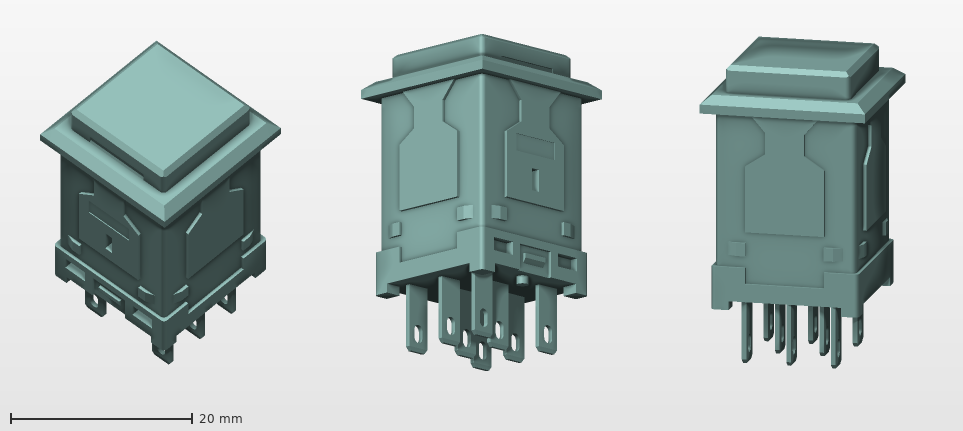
import cadquery as cq


total_height = 34.0
foot_bottom_z = 6.5
base_bottom_z = 7.5
base_top_z = 11.4
bezel_bottom_z = 28.97
bezel_top_z = 30.9

bezel_width = 18.8
bezel_bevel_height = 0.92
bezel_bevel_inset = 1.12
cap_width = 14.2
cap_bevel = 0.55
cap_corner_radius = 0.55
body_width = 15.98
body_corner_radius = 0.55
base_width = 16.75
base_corner_radius = 0.48
body_half = body_width / 2
base_half = base_width / 2
relief = base_half - body_half

groove_width = 8.15
groove_top_z = 31.85
groove_floor_z = 31.1
groove_depth = groove_floor_z - bezel_top_z

panel_bottom_z = 15.47
panel_shoulder_z = 23.0
panel_neck_bottom_z = 24.48
panel_neck_top_z = 26.93
panel_half_width = 4.5
panel_neck_half_width = 2.2
panel_top_half_width = 3.98

label_width = 6.05
label_bottom_z = 21.0
label_top_z = 23.0
label_depth = 0.1
window_width = 1.05
window_bottom_z = 16.93
window_top_z = 19.45
window_depth = 1.2

clip_inner_x = 4.45
clip_ridge_x = 5.5
clip_outer_x = 6.55
clip_bottom_z = 12.7
clip_height = 1.5

foot_inner = 6.4
notch_bottom_z = 9.55
notch_width = 2 * panel_half_width
pocket_inner_x = 3.57
pocket_width = 3.0
pocket_bottom_z = 8.98
pocket_top_z = 10.47
pocket_depth = 1.0
recess_width = 4.9
catch_width = 3.13
catch_bottom_z = 8.5
catch_edge_z = 9.05
catch_top_z = 9.6
peg_radius = 0.68
peg_y = -6.35
peg_bottom_z = 6.6

terminal_width = 2.8
terminal_thickness = 0.55
terminal_pitch = 5.05
tip_height = 0.48
tip_side_inset = 0.35
tip_face_inset = 0.07
eye_width = 1.22
eye_length = 2.07
eye_centre_z = 2.07


def block(width, bottom_z, top_z):
    """Square block centred on the Z axis."""
    return cq.Workplane("XY").workplane(offset=bottom_z).rect(width, width).extrude(top_z - bottom_z)


def front_box(width, bottom_z, top_z, outer, depth, centre_x=0.0):
    """Box whose front face lies at Y = -outer and which runs `depth` back from there."""
    return (
        cq.Workplane("XY")
        .box(width, depth, top_z - bottom_z, centered=(True, False, False))
        .translate((centre_x, -outer, bottom_z))
    )


def side_prism(profile, width):
    """(Y, Z) profile extruded along X, centred on X = 0."""
    return cq.Workplane("YZ").polyline(profile).close().extrude(width / 2, both=True)


def around(shape, angle):
    """Shape turned about the Z axis."""
    return shape.rotate((0, 0, 0), (0, 0, 1), angle)


def make_cap():
    """Button cap with mitred bevels over rounded corners."""
    bevelled = block(cap_width, bezel_top_z, total_height).faces(">Z").chamfer(cap_bevel)
    rounded = block(cap_width, bezel_top_z, total_height).edges("|Z").fillet(cap_corner_radius)
    cap = bevelled.intersect(rounded)
    front = -cap_width / 2
    groove = side_prism(
        [
            (front, bezel_top_z),
            (front + groove_depth, groove_floor_z),
            (front + groove_depth, groove_top_z),
            (front, groove_top_z),
        ],
        groove_width,
    )
    return cap.cut(groove)


def make_bezel():
    bezel = block(bezel_width, bezel_bottom_z, bezel_top_z)
    return bezel.faces(">Z").chamfer(bezel_bevel_height, bezel_bevel_inset)


def make_panel():
    """Raised latch panel on the front side, waisted below the bezel."""
    right_edge = [
        (panel_half_width, panel_bottom_z),
        (panel_half_width, panel_shoulder_z),
        (panel_neck_half_width, panel_neck_bottom_z),
        (panel_neck_half_width, panel_neck_top_z),
        (panel_top_half_width, bezel_bottom_z),
    ]
    left_edge = [(-x, z) for x, z in reversed(right_edge)]
    return (
        cq.Workplane("XZ")
        .workplane(offset=body_half)
        .polyline(right_edge + left_edge)
        .close()
        .extrude(relief)
    )


def make_clips():
    """Pair of wedges on the front side, sloping down to the body towards its corners."""
    right = (
        cq.Workplane("XY")
        .workplane(offset=clip_bottom_z)
        .polyline(
            [
                (clip_inner_x, -body_half),
                (clip_inner_x, -base_half),
                (clip_ridge_x, -base_half),
                (clip_outer_x, -body_half),
            ]
        )
        .close()
        .extrude(clip_height)
    )
    return right.union(right.mirror("YZ"))


def make_body():
    body = block(body_width, base_bottom_z, bezel_bottom_z).edges("|Z").fillet(body_corner_radius)
    for angle in (0, 90, 180, 270):
        body = body.union(around(make_panel(), angle))
        body = body.union(around(make_clips(), angle))
    label = front_box(label_width, label_bottom_z, label_top_z, base_half, label_depth)
    window = front_box(window_width, window_bottom_z, window_top_z, base_half, window_depth)
    return body.cut(label).cut(window)


def make_base():
    """Base with four corner feet, notched on both X sides, with a catch and a peg on the front."""
    base = block(base_width, foot_bottom_z, base_top_z).edges("|Z").fillet(base_corner_radius)

    foot_gap = 2 * foot_inner
    for length_x, length_y in ((base_width, foot_gap), (foot_gap, base_width)):
        gap = cq.Workplane("XY").workplane(offset=foot_bottom_z).rect(length_x, length_y)
        base = base.cut(gap.extrude(base_bottom_z - foot_bottom_z))

    notch = front_box(notch_width, notch_bottom_z, base_top_z, base_half, relief)
    for angle in (90, -90):
        base = base.cut(around(notch, angle))

    base = base.cut(front_box(recess_width, base_bottom_z, pocket_top_z, base_half, relief))
    catch = side_prism(
        [
            (-body_half, catch_bottom_z),
            (-base_half, catch_edge_z),
            (-base_half, catch_top_z),
            (-body_half, catch_top_z),
        ],
        catch_width,
    )
    peg = (
        cq.Workplane("XY")
        .workplane(offset=peg_bottom_z)
        .center(0, peg_y)
        .circle(peg_radius)
        .extrude(base_bottom_z - peg_bottom_z)
    )
    return base.union(catch).union(peg)


def make_pockets():
    """Pair of blind pockets in the front of the base, deep enough to reach into the body."""
    centre_x = pocket_inner_x + pocket_width / 2
    right = front_box(pocket_width, pocket_bottom_z, pocket_top_z, base_half, pocket_depth, centre_x)
    return right.union(right.mirror("YZ"))


def make_terminal():
    """Solder lug with a tapered tip and an oblong eye."""
    blade = (
        cq.Workplane("XY")
        .workplane(offset=tip_height)
        .rect(terminal_width, terminal_thickness)
        .extrude(base_bottom_z - tip_height)
    )
    tip = (
        cq.Workplane("XY")
        .rect(terminal_width - 2 * tip_side_inset, terminal_thickness - 2 * tip_face_inset)
        .workplane(offset=tip_height)
        .rect(terminal_width, terminal_thickness)
        .loft(ruled=True)
    )
    eye = (
        cq.Workplane("XZ")
        .center(0, eye_centre_z)
        .slot2D(eye_length, eye_width, 90)
        .extrude(terminal_thickness, both=True)
    )
    return blade.union(tip).cut(eye)


terminal_places = [(0, -terminal_pitch / 2), (0, terminal_pitch / 2)]
for y in (-terminal_pitch, 0, terminal_pitch):
    terminal_places += [(-terminal_pitch, y), (terminal_pitch, y)]

result = make_base().union(make_body()).cut(make_pockets())
result = result.union(make_bezel()).union(make_cap())
for x, y in terminal_places:
    result = result.union(make_terminal().translate((x, y, 0)))